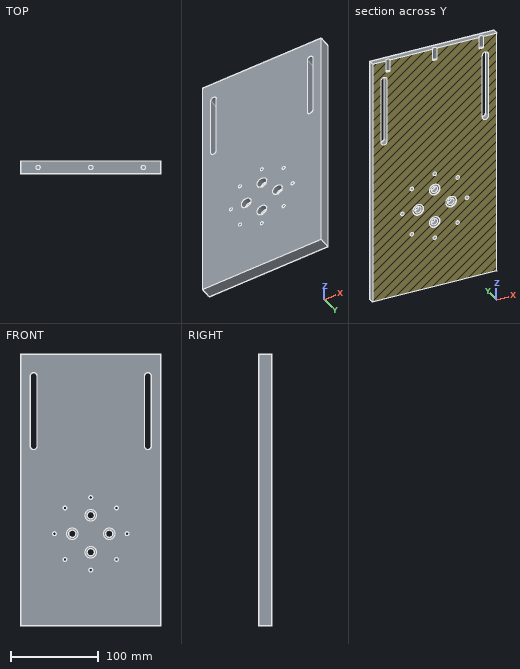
import cadquery as cq

width = 160.0
thickness = 15.0
height = 310.0

slot_width = 7.5
slot_length = 87.5
slot_spacing = 130.2
slot_top_margin = 21.5

pattern_height = 105.0
bolt_hole_diameter = 8.0
counterbore_diameter = 13.0
counterbore_depth = 8.0
bolt_circle_radius = 21.0
bolt_count = 4
pin_hole_diameter = 4.0
pin_circle_radius = 41.5
pin_count = 8

edge_hole_diameter = 5.0
edge_hole_depth = 15.0
edge_hole_span = 120.0
edge_hole_count = 3
edge_hole_spacing = edge_hole_span / (edge_hole_count - 1)


def front_plane(z):
    """Workplane on the front face, looking at it along +Y."""
    return cq.Workplane("XZ", origin=(0, -thickness / 2, z))


def make_plate():
    return cq.Workplane("XY").box(width, thickness, height, centered=(True, True, False))


def cut_slots(body):
    slot_height = height - slot_top_margin - slot_length / 2
    slots = (
        front_plane(slot_height)
        .rarray(slot_spacing, 3, 2, 1)
        .slot2D(slot_length, slot_width, 90)
        .extrude(-thickness)
    )
    return body.cut(slots)


def ring_of_holes(radius, count, diameter, depth):
    """Cylinders on a circle, reaching back from the front face."""
    return (
        front_plane(pattern_height)
        .polarArray(radius, 0, 360, count)
        .circle(diameter / 2)
        .extrude(-depth)
    )


def cut_hole_pattern(body):
    bolt_holes = ring_of_holes(bolt_circle_radius, bolt_count, bolt_hole_diameter, thickness)
    counterbores = ring_of_holes(
        bolt_circle_radius, bolt_count, counterbore_diameter, counterbore_depth
    )
    pin_holes = ring_of_holes(pin_circle_radius, pin_count, pin_hole_diameter, thickness)
    return body.cut(bolt_holes).cut(counterbores).cut(pin_holes)


def cut_edge_holes(body):
    holes = (
        cq.Workplane("XY", origin=(0, 0, height))
        .rarray(edge_hole_spacing, 3, edge_hole_count, 1)
        .circle(edge_hole_diameter / 2)
        .extrude(-edge_hole_depth)
    )
    return body.cut(holes)


result = cut_edge_holes(cut_hole_pattern(cut_slots(make_plate())))